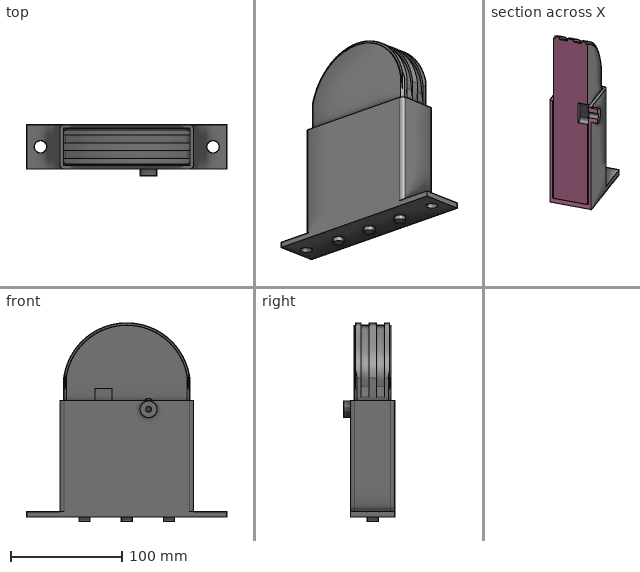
import cadquery as cq

plate_length = 180.0
depth = 40.0
plate_thickness = 5.0
mount_hole_diameter = 11.0
mount_hole_offset = 77.5

tube_length = 120.2
tube_height = 100.0
wall = 3.0
tube_corner_radius = 3.8
tube_top = plate_thickness + tube_height

boss_diameter = 15.1
boss_projection = 6.1
boss_bore_diameter = 5.0
boss_x = 19.6
boss_z = tube_top - 8.1

block_length = 113.4
block_width = 33.1
block_chamfer = 2.5
crown_radius = 57.2
crown_center_z = tube_top + 12.5
block_front = -block_width / 2

groove_floor_radius = 55.0
groove_width = 7.2
groove_spacing = 13.7
groove_bottom_z = tube_top + 3.0
edge_step_width = 1.3
groove_overcut = 1.8

slot_width = 7.5
slot_top_z = tube_top + 1.8
slot_length = 2 * (slot_top_z - boss_z)
slot_depth = 9.0
recess_width = 15.1
recess_x = -20.9
recess_top_z = tube_top + 10.8
recess_depth = 0.2

pin_diameter = 10.0
pin_projection = 4.0
pin_spacing = 38.0
pin_places = [(step * pin_spacing, 0) for step in (-1, 0, 1)]


def box_between(x_range, y_range, z_range):
    """Box given by its lower and upper limit along each axis."""
    lower, upper = zip(x_range, y_range, z_range)
    sizes = [high - low for low, high in zip(lower, upper)]
    return cq.Workplane("XY").box(*sizes, centered=False).translate(lower)


def cylinder_along_y(radius, x, z, y_start, y_end):
    """Round bar parallel to Y between two Y positions."""
    return (
        cq.Workplane("XZ", origin=(x, y_start, z))
        .circle(radius)
        .extrude(y_start - y_end)
    )


def arch(radius, foot_half_length, bottom_z, y_start, y_end):
    """Slab with a half-round top about the crown centre and straight sides down to its foot."""
    return (
        cq.Workplane("XZ", origin=(0, y_start, 0))
        .moveTo(-foot_half_length, bottom_z)
        .lineTo(-radius, crown_center_z)
        .threePointArc((0, crown_center_z + radius), (radius, crown_center_z))
        .lineTo(foot_half_length, bottom_z)
        .close()
        .extrude(y_start - y_end)
    )


def make_housing():
    """Plate, open-topped tube and bored boss in one piece."""
    plate = (
        cq.Workplane("XY")
        .box(plate_length, depth, plate_thickness, centered=(True, True, False))
        .faces(">Z")
        .workplane()
        .pushPoints([(-mount_hole_offset, 0), (mount_hole_offset, 0)])
        .hole(mount_hole_diameter)
    )
    tube = (
        cq.Workplane("XY", origin=(0, 0, plate_thickness))
        .rect(tube_length, depth)
        .extrude(tube_height)
        .edges("|Z")
        .fillet(tube_corner_radius)
    )
    cavity = (
        cq.Workplane("XY", origin=(0, 0, plate_thickness))
        .rect(tube_length - 2 * wall, depth - 2 * wall)
        .extrude(tube_height)
        .edges("|Z")
        .fillet(tube_corner_radius - wall)
    )
    outer_y = -depth / 2 - boss_projection
    inner_y = -depth / 2 + wall
    boss = cylinder_along_y(boss_diameter / 2, boss_x, boss_z, outer_y, inner_y)
    bore = cylinder_along_y(boss_bore_diameter / 2, boss_x, boss_z, outer_y, inner_y)
    pin_holes = (
        cq.Workplane("XY").pushPoints(pin_places).circle(pin_diameter / 2).extrude(plate_thickness)
    )
    return plate.union(tube).cut(cavity).union(boss).cut(bore).cut(pin_holes)


def cut_groove(block, y_start, y_end):
    """Cut a groove over the crown whose floor runs out on both ends of the block."""
    outer_radius = crown_radius + groove_overcut
    outside = arch(outer_radius, outer_radius, groove_bottom_z, y_start, y_end)
    core = arch(groove_floor_radius, block_length / 2, groove_bottom_z, y_start, y_end)
    return block.cut(outside.cut(core))


def make_block():
    """Chamfered block with a round crown, grooves, edge steps, slot and recess."""
    block_back = -block_front
    crown = arch(crown_radius, crown_radius, plate_thickness, block_front, block_back)
    block = (
        cq.Workplane("XY", origin=(0, 0, plate_thickness))
        .rect(block_length, block_width)
        .extrude(crown_center_z + crown_radius - plate_thickness)
        .edges("|Z")
        .chamfer(block_chamfer)
        .intersect(crown)
    )
    for groove_y in (-groove_spacing / 2, groove_spacing / 2):
        block = cut_groove(block, groove_y - groove_width / 2, groove_y + groove_width / 2)
    block = cut_groove(block, block_front, block_front + edge_step_width)
    block = cut_groove(block, block_back - edge_step_width, block_back)

    slot = (
        cq.Workplane("XZ", origin=(boss_x, block_front, boss_z))
        .slot2D(slot_length, slot_width, angle=90)
        .extrude(-slot_depth)
    )
    recess = box_between(
        (recess_x - recess_width / 2, recess_x + recess_width / 2),
        (block_front, block_front + recess_depth),
        (plate_thickness, recess_top_z),
    )
    return block.cut(slot).cut(recess)


def make_pin(place):
    """Round pin that fills its plate hole and stands out below the plate."""
    x, y = place
    return (
        cq.Workplane("XY", origin=(x, y, -pin_projection))
        .circle(pin_diameter / 2)
        .extrude(pin_projection + plate_thickness)
    )


housing = make_housing()
block = make_block()
pins = [make_pin(place).val() for place in pin_places]

result = cq.Compound.makeCompound([housing.val(), block.val(), *pins])